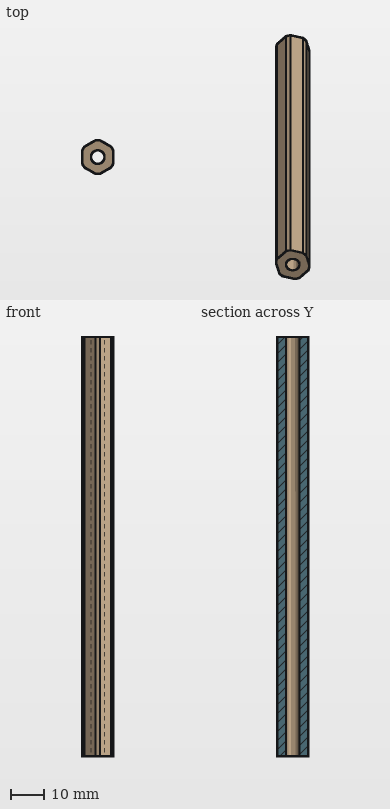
import cadquery as cq
import math

length = 127.0
across_flats = 9.525
rounded_diameter = 10.25
bore_diameter = 4.0386

across_sharp_corners = across_flats / math.cos(math.radians(30))


def make_hex_bar():
    """Bar along Z with flats facing +X and -X and corners on the Y axis."""
    return (
        cq.Workplane("XY")
        .transformed(rotate=(0, 0, 90))
        .polygon(6, across_sharp_corners)
        .extrude(length)
    )


def make_cylinder(diameter):
    """Full-length cylinder on the bar axis."""
    return cq.Workplane("XY").circle(diameter / 2).extrude(length)


rounded_bar = make_hex_bar().intersect(make_cylinder(rounded_diameter))
result = rounded_bar.cut(make_cylinder(bore_diameter))